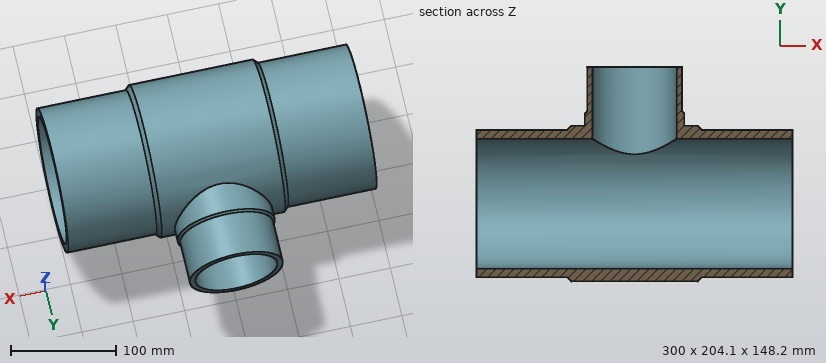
import cadquery as cq

pipe_length = 300.0
pipe_diameter = 140.0
pipe_bore = 123.3

sleeve_diameter = 148.2
sleeve_length = 128.0
sleeve_chamfer = (sleeve_diameter - pipe_diameter) / 2

branch_diameter = 90.5
branch_bore = branch_diameter * pipe_bore / pipe_diameter
branch_end = 130.0

collar_diameter = 94.8
collar_end = 88.0
collar_chamfer = (collar_diameter - branch_diameter) / 2


def cylinder_along_x(diameter, length):
    """Cylinder centred on the origin with its axis along X."""
    return cq.Workplane("YZ").circle(diameter / 2).extrude(length / 2, both=True)


def cylinder_along_y(diameter, end):
    """Cylinder from the main axis out to y = end."""
    return cq.Workplane("XZ").circle(diameter / 2).extrude(-end)


pipe = cylinder_along_x(pipe_diameter, pipe_length)
sleeve = cylinder_along_x(sleeve_diameter, sleeve_length).edges().chamfer(sleeve_chamfer)
branch = cylinder_along_y(branch_diameter, branch_end)
collar = cylinder_along_y(collar_diameter, collar_end).faces(">Y").edges().chamfer(collar_chamfer)
body = pipe.union(sleeve).union(collar).union(branch)

body = body.cut(cylinder_along_x(pipe_bore, pipe_length))
result = body.cut(cylinder_along_y(branch_bore, branch_end))